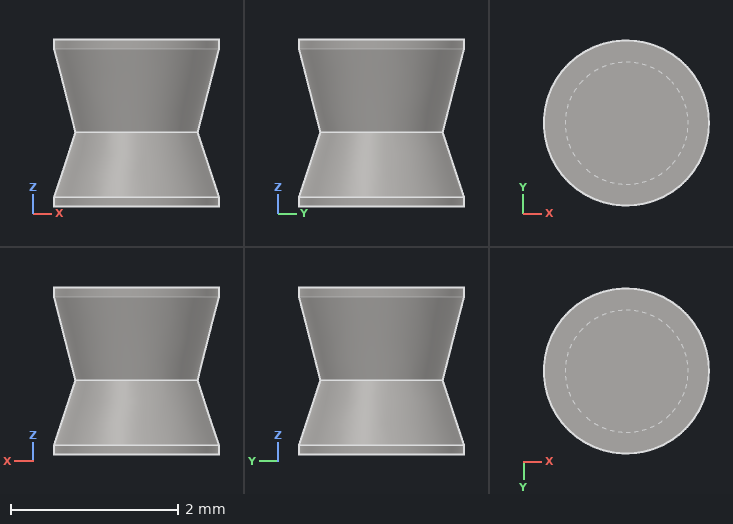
import cadquery as cq

height = 2.0
rim_diameter = 1.98
waist_diameter = 1.468

rim_thickness = 0.112
waist_height = 0.888

rim_radius = rim_diameter / 2
waist_radius = waist_diameter / 2

half_section = (
    cq.Workplane("XZ")
    .moveTo(0, 0)
    .lineTo(rim_radius, 0)
    .lineTo(rim_radius, rim_thickness)
    .lineTo(waist_radius, waist_height)
    .lineTo(rim_radius, height - rim_thickness)
    .lineTo(rim_radius, height)
    .lineTo(0, height)
    .close()
)

result = half_section.revolve(360, (0, 0, 0), (0, 1, 0))